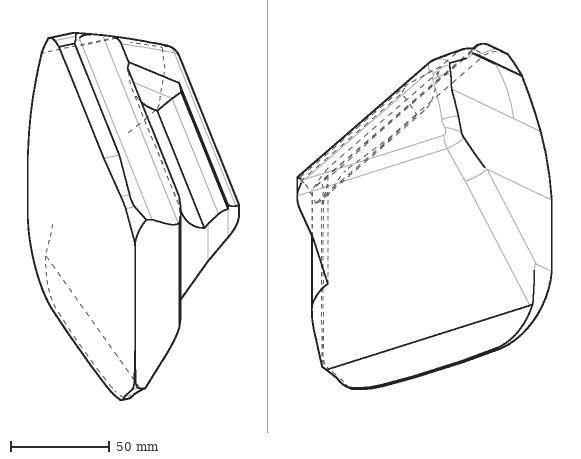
import cadquery as cq

WIDTH = 151.12
DEPTH = 75.39
HEIGHT = 166.33
OVERRUN = 20.0

UPPER_EDGE_START = (44.0, 166.1)
UPPER_EDGE_END = (107.0, 136.8)
UPPER_REF_X = UPPER_EDGE_START[0]
UPPER_FALL = (UPPER_EDGE_START[1] - UPPER_EDGE_END[1]) / (UPPER_EDGE_END[0] - UPPER_EDGE_START[0])

FLANK_STRAIGHT_Z = 74.0
FLANK_LEAN_MID = (12.6, 134.0)
FLANK_LEAN_END = (48.5, 184.0)

BULGE_TOP = (19.3, 147.0)
BULGE_BOTTOM = (7.3, 113.8)
BULGE_MID_AT_FLAT = (12.9, 130.6)
BULGE_MID_FULL = (11.6, 131.0)
BULGE_FULL_Y = 22.0

LIP_START_Y = 1.8
LIP_END_Y = 6.8
LIP_END_Z = 16.0
BACK_BOTTOM_Z = 84.0
UNDERSIDE_RISE = (BACK_BOTTOM_Z - LIP_END_Z) / (DEPTH - LIP_END_Y)
FOOT_TOP_Z = 40.0

SLOPE_FLAT_Z = 172.0
SLOPE_BACK_Z = 119.5
SLOPE_FALL = (SLOPE_FLAT_Z - SLOPE_BACK_Z) / DEPTH

RIM = (11.0, 164.8)
VALLEY_START = (30.9, 146.0)
VALLEY_BOTTOM = (35.0, 143.9)
VALLEY_END = (39.5, 145.3)

SHOULDER_END = (116.3, 37.5)
BLOCK_KNEE = (111.4, 55.0)
BLOCK_RIGHT_X = 110.4
BLOCK_CORNER_RADIUS = 9.0

EDGE_RADIUS = 9.0

RECESS_LIP = (37.5, 144.0)
RECESS_FLOOR_MID = (43.0, 125.5)
RECESS_DEEPEST = (53.0, 116.5)
RECESS_WALL_TOP = (61.0, 122.0)
RECESS_BLEND_MID = (63.6, 123.0)
RECESS_BACK = (66.5, 123.3)
RECESS_OPEN_Z = 180.0
RECESS_LEFT_X = 45.5
RECESS_ROUND_X = 35.0
RECESS_ROUND_DEPTH = 8.0


def plan_wire(y, bulge_mid):
    """Outline of the part in XZ at distance y from the flat face."""
    return (
        cq.Workplane("XZ", origin=(0, y, 0))
        .moveTo(0, 34.6)
        .threePointArc((10.8, 11.8), (33.0, 1.0))
        .lineTo(58.0, 0)
        .lineTo(89.6, 0)
        .lineTo(110.0, 0.7)
        .threePointArc((122.0, 2.1), (131.0, 4.5))
        .threePointArc((134.4, 7.2), (136.8, 10.5))
        .lineTo(147.3, 21.0)
        .threePointArc((149.3, 24.3), (150.1, 28.3))
        .lineTo(WIDTH, 48.0)
        .lineTo(WIDTH, 110.0)
        .threePointArc((150.7, 111.8), (149.8, 113.3))
        .lineTo(137.8, 125.0)
        .threePointArc((134.6, 126.8), (131.0, 128.2))
        .lineTo(*UPPER_EDGE_END)
        .lineTo(*UPPER_EDGE_START)
        .lineTo(38.0, HEIGHT)
        .threePointArc((27.7, 161.3), BULGE_TOP)
        .threePointArc(bulge_mid, BULGE_BOTTOM)
        .threePointArc((2.5, 93.5), (0, FLANK_STRAIGHT_Z))
        .close()
        .val()
    )


def plan_body():
    """Plan outline carried back, with the flank bulge growing over the first stretch."""
    flat = plan_wire(0, BULGE_MID_AT_FLAT)
    bulged = plan_wire(BULGE_FULL_Y, BULGE_MID_FULL)
    back = plan_wire(DEPTH, BULGE_MID_FULL)
    foot = cq.Workplane(cq.Solid.makeLoft([flat, bulged], True))
    rear = cq.Workplane(cq.Solid.makeLoft([bulged, back], True))
    return foot.union(rear)


def shoulder_body():
    """Right side: flared foot and shoulder, with the raised back block behind it."""
    return (
        cq.Workplane("XY", origin=(0, 0, -OVERRUN))
        .moveTo(-OVERRUN, 0)
        .lineTo(WIDTH, 0)
        .spline([(143.7, 8.7), (136.5, 25.0), (131.0, 31.9)], includeCurrent=True)
        .spline([(123.6, 35.6), SHOULDER_END], includeCurrent=True)
        .lineTo(*BLOCK_KNEE)
        .lineTo(BLOCK_RIGHT_X, DEPTH - BLOCK_CORNER_RADIUS)
        .radiusArc((BLOCK_RIGHT_X - BLOCK_CORNER_RADIUS, DEPTH), -BLOCK_CORNER_RADIUS)
        .lineTo(-OVERRUN, DEPTH)
        .close()
        .extrude(HEIGHT + 2 * OVERRUN)
    )


def underside_body():
    """Everything above the lip and the straight slope of the underside."""
    return (
        cq.Workplane("YZ", origin=(-OVERRUN, 0, 0))
        .moveTo(0, 0)
        .lineTo(LIP_START_Y, 0)
        .lineTo(LIP_END_Y, LIP_END_Z)
        .lineTo(DEPTH, BACK_BOTTOM_Z)
        .lineTo(DEPTH, HEIGHT + OVERRUN)
        .lineTo(0, HEIGHT + OVERRUN)
        .close()
        .extrude(WIDTH + 2 * OVERRUN)
    )


def slanted_prism(profile, start_x, end_x):
    """Extrude a YZ profile, given at UPPER_REF_X, along the falling upper edge."""
    start_z = (UPPER_REF_X - start_x) * UPPER_FALL
    length = end_x - start_x
    wire = profile.val().translate(cq.Vector(start_x, 0, start_z))
    path = cq.Vector(length, 0, -length * UPPER_FALL)
    return cq.Workplane(cq.Solid.extrudeLinear(wire, [], path))


def valley_body():
    """Everything below the rim, its slope and the shallow valley behind it."""
    profile = (
        cq.Workplane("YZ")
        .moveTo(0, -HEIGHT)
        .lineTo(0, 2 * HEIGHT)
        .lineTo(RIM[0], 2 * HEIGHT)
        .lineTo(*RIM)
        .lineTo(*VALLEY_START)
        .threePointArc(VALLEY_BOTTOM, VALLEY_END)
        .lineTo(DEPTH, VALLEY_END[1])
        .lineTo(DEPTH, -HEIGHT)
        .close()
    )
    return slanted_prism(profile, -OVERRUN, WIDTH + OVERRUN)


def upper_slope_body():
    """Everything below the upper slope of the back block."""
    profile = (
        cq.Workplane("YZ")
        .moveTo(0, -HEIGHT)
        .lineTo(0, SLOPE_FLAT_Z)
        .lineTo(DEPTH, SLOPE_BACK_Z)
        .lineTo(DEPTH, -HEIGHT)
        .close()
    )
    return slanted_prism(profile, -OVERRUN, 2 * WIDTH)


def lower_slope_body():
    """Everything above the underside slope, carried forward to the flat face."""
    return (
        cq.Workplane("YZ", origin=(-OVERRUN, 0, 0))
        .moveTo(0, LIP_END_Z - LIP_END_Y * UNDERSIDE_RISE)
        .lineTo(DEPTH, BACK_BOTTOM_Z)
        .lineTo(DEPTH, 2 * HEIGHT)
        .lineTo(0, 2 * HEIGHT)
        .close()
        .extrude(2 * WIDTH)
    )


def flank_body():
    """Everything to the right of the left flank."""
    return (
        cq.Workplane("XZ")
        .moveTo(0, -HEIGHT)
        .lineTo(0, FLANK_STRAIGHT_Z)
        .threePointArc(FLANK_LEAN_MID, FLANK_LEAN_END)
        .lineTo(WIDTH, FLANK_LEAN_END[1])
        .lineTo(WIDTH, -HEIGHT)
        .close()
        .extrude(-DEPTH)
    )


def rounded_core():
    """Flank between both slopes, rounded along the flank and around the back."""
    core = flank_body().intersect(upper_slope_body()).intersect(lower_slope_body())
    far_y = DEPTH - 1.0
    lower_ridge = cq.selectors.BoxSelector(
        (-OVERRUN, DEPTH / 2, FLANK_STRAIGHT_Z),
        (FLANK_LEAN_MID[0], far_y, BACK_BOTTOM_Z),
    )
    upper_ridge = cq.selectors.BoxSelector(
        (-OVERRUN, BULGE_FULL_Y, FLANK_LEAN_MID[1]),
        (FLANK_LEAN_END[0], far_y, FLANK_LEAN_END[1]),
    )
    core = core.edges(lower_ridge).fillet(EDGE_RADIUS)
    core = core.edges(upper_ridge).fillet(EDGE_RADIUS)
    return core.faces(">Y").edges().fillet(EDGE_RADIUS)


def foot_plate():
    """Stock for the lower part of the foot, as deep as the lip."""
    return cq.Workplane("XY").box(WIDTH, LIP_END_Y, FOOT_TOP_Z, centered=False)


def recess_end():
    """Space right of the recess's left end, whose upper edge is rounded over."""
    round_top_z = SLOPE_FLAT_Z + (UPPER_REF_X - RECESS_ROUND_X) * UPPER_FALL
    wire = (
        cq.Workplane("XZ")
        .moveTo(RECESS_LEFT_X, 0)
        .lineTo(RECESS_LEFT_X, SLOPE_FLAT_Z - RECESS_ROUND_DEPTH)
        .tangentArcPoint((RECESS_ROUND_X, round_top_z), relative=False)
        .lineTo(RECESS_ROUND_X, 2 * HEIGHT)
        .lineTo(2 * WIDTH, 2 * HEIGHT)
        .lineTo(2 * WIDTH, 0)
        .close()
        .val()
    )
    along_slope = cq.Vector(0, DEPTH, -DEPTH * SLOPE_FALL)
    return cq.Workplane(cq.Solid.extrudeLinear(wire, [], along_slope))


def grip_recess():
    """Scooped channel along the upper side of the block, open at its right end."""
    profile = (
        cq.Workplane("YZ")
        .moveTo(RECESS_LIP[0], RECESS_OPEN_Z)
        .lineTo(*RECESS_LIP)
        .threePointArc(RECESS_FLOOR_MID, RECESS_DEEPEST)
        .lineTo(*RECESS_WALL_TOP)
        .threePointArc(RECESS_BLEND_MID, RECESS_BACK)
        .lineTo(RECESS_BACK[0], RECESS_OPEN_Z)
        .close()
    )
    return slanted_prism(profile, 0, WIDTH).intersect(recess_end())


result = (
    rounded_core()
    .union(foot_plate())
    .intersect(plan_body())
    .intersect(shoulder_body())
    .intersect(underside_body())
    .intersect(valley_body())
    .cut(grip_recess())
)